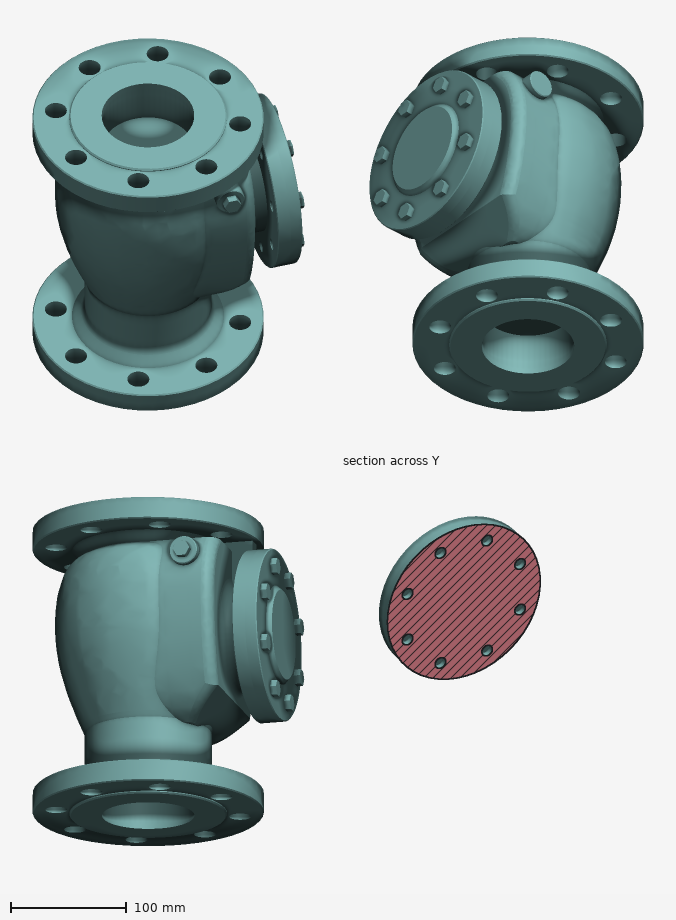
import cadquery as cq
import math

TOTAL_HEIGHT = 260.0
FLANGE_DIA = 200.0
FLANGE_BACK = 21.3
FACE_DIA = 136.5
FACE_HEIGHT = 2.0
FACE_CHAMFER = 1.3
FLANGE_CHAMFER = 1.0
FLANGE_HOLE_DIA = 19.0
FLANGE_HOLE_CIRCLE_DIA = 160.2
HOLE_COUNT = 8
HALF_STEP = 180.0 / HOLE_COUNT
BORE_DIA = 80.0
BORE_DEPTH = 40.3

NECK_RADIUS = 110.0 / 2
HUB_RADIUS = 65.8
HUB_FILLET = 9.4
COLLAR_BOTTOM = 73.0
BULB_BOTTOM = 78.0
BULB_END_RADIUS = 57.2
BULB_TOP = TOTAL_HEIGHT - FLANGE_BACK - (HUB_RADIUS - BULB_END_RADIUS)
BULB_PROFILE = [
    (67.9, 104.5),
    (77.7, 139.5),
    (80.5, 169.0),
    (77.0, 204.0),
    (69.0, 221.8),
]

BLOCK_BACK = 77.0
BLOCK_FILLET = 9.5
BLOCK_FOOT = 70.2
BLOCK_FOOT_HALF = 36.5
BLOCK_TOP_HALF = 55.6
BLOCK_WALL = [
    (58.5, 92.0),
    (66.0, 111.8),
    (74.4, 158.5),
    (71.0, 204.0),
]
SLOPE_TOP = 96.7

PORT_HEIGHT = 153.7
PORT_DIA = 150.0
PORT_NECK_RADIUS = 42.0
PORT_NECK_FILLET = 10.0
PORT_FLANGE_BACK = 95.2
PARTING = 106.9
COVER_FACE = 117.3
COVER_CHAMFER = 0.8
DOME_BASE_DIA = 86.3
DOME_TOP_DIA = 78.0
DOME_HEIGHT = 4.2
WEB_THICKNESS = 13.0

BOLT_CIRCLE_RADIUS = 59.5
BOLT_DIA = 8.0
BOLT_HOLE_DIA = 10.0
BOLT_FLATS = 13.0
BOLT_CORNERS = BOLT_FLATS / math.cos(math.radians(30))
HEAD_HEIGHT = 5.5

BOSS_DIA = 25.0
BOSS_Y = 52.0
BOSS_HEIGHT = 213.5
BOSS_REACH = 77.2
BOSS_CHAMFER = 0.8
PLUG_REACH = 83.7


def port_plane(y):
    """Plane across the port axis at the given Y, facing +Y; local X is -X, local Y is +Z."""
    return cq.Workplane(cq.Plane(origin=(0, y, PORT_HEIGHT), xDir=(-1, 0, 0), normal=(0, 1, 0)))


def pipe_flange():
    """Lower pipe flange with its raised face at Z = 0; the other one is its mirror image."""
    plate = (
        cq.Workplane("XY", origin=(0, 0, FACE_HEIGHT))
        .circle(FLANGE_DIA / 2)
        .extrude(FLANGE_BACK - FACE_HEIGHT)
        .edges()
        .chamfer(FLANGE_CHAMFER)
    )
    face = cq.Workplane("XY").circle(FACE_DIA / 2).extrude(FLANGE_BACK).faces("<Z").edges().chamfer(FACE_CHAMFER)
    holes = (
        cq.Workplane("XY")
        .polarArray(FLANGE_HOLE_CIRCLE_DIA / 2, HALF_STEP, 360, HOLE_COUNT)
        .circle(FLANGE_HOLE_DIA / 2)
        .extrude(FLANGE_BACK)
    )
    return plate.union(face).cut(holes)


def chamber():
    """Turned body from the lower hub through the bulb to the upper hub."""
    upper_flange_back = TOTAL_HEIGHT - FLANGE_BACK
    diagonal = math.sqrt(0.5)
    hub_end_radius = NECK_RADIUS + HUB_FILLET * (1 - diagonal)
    hub_end = FLANGE_BACK + HUB_RADIUS - hub_end_radius
    fillet_mid = (
        NECK_RADIUS + HUB_FILLET * (1 - math.cos(math.radians(22.5))),
        hub_end + HUB_FILLET * (diagonal - math.sin(math.radians(22.5))),
    )
    return (
        cq.Workplane("XZ")
        .moveTo(0, FLANGE_BACK)
        .lineTo(HUB_RADIUS, FLANGE_BACK)
        .lineTo(hub_end_radius, hub_end)
        .threePointArc(fillet_mid, (NECK_RADIUS, hub_end + HUB_FILLET * diagonal))
        .lineTo(NECK_RADIUS, COLLAR_BOTTOM)
        .lineTo(BULB_END_RADIUS, BULB_BOTTOM)
        .spline([*BULB_PROFILE, (BULB_END_RADIUS, BULB_TOP)], includeCurrent=True)
        .lineTo(HUB_RADIUS, upper_flange_back)
        .lineTo(0, upper_flange_back)
        .close()
        .revolve(360, (0, 0), (0, 1))
    )


def rear_block():
    """Block behind the chamber: bulging side walls, rounded back edges and a sloping underside."""
    left_wall = [(-half_width, level) for half_width, level in reversed(BLOCK_WALL)]
    block = (
        cq.Workplane("XZ")
        .moveTo(BLOCK_FOOT_HALF, BLOCK_FOOT)
        .spline([*BLOCK_WALL, (BLOCK_TOP_HALF, BULB_TOP)], includeCurrent=True)
        .lineTo(-BLOCK_TOP_HALF, BULB_TOP)
        .spline([*left_wall, (-BLOCK_FOOT_HALF, BLOCK_FOOT)], includeCurrent=True)
        .close()
        .extrude(-BLOCK_BACK)
    )
    slope_run = SLOPE_TOP - BLOCK_FOOT
    below_slope = (
        cq.Workplane("YZ")
        .moveTo(BLOCK_BACK, SLOPE_TOP)
        .lineTo(BLOCK_BACK, BLOCK_FOOT)
        .lineTo(BLOCK_BACK - slope_run, BLOCK_FOOT)
        .close()
        .extrude(FLANGE_DIA / 2, both=True)
    )
    underside = cq.selectors.DirectionMinMaxSelector(cq.Vector(0, 1, -1))
    block = block.cut(below_slope)
    wall_edges = block.faces(">Y").add(block.faces(underside)).edges("not |X")
    return wall_edges.fillet(BLOCK_FILLET)


def access_port():
    """Flared neck and round flange behind the block, with through holes for the cover bolts."""
    flare_end = BLOCK_BACK + PORT_NECK_FILLET
    diagonal_gap = PORT_NECK_FILLET * (1 - math.sqrt(0.5))
    neck = (
        cq.Workplane("XY")
        .moveTo(0, BOSS_Y)
        .lineTo(PORT_NECK_RADIUS + PORT_NECK_FILLET, BOSS_Y)
        .lineTo(PORT_NECK_RADIUS + PORT_NECK_FILLET, BLOCK_BACK)
        .threePointArc(
            (PORT_NECK_RADIUS + diagonal_gap, BLOCK_BACK + diagonal_gap), (PORT_NECK_RADIUS, flare_end)
        )
        .lineTo(PORT_NECK_RADIUS, PORT_FLANGE_BACK)
        .lineTo(0, PORT_FLANGE_BACK)
        .close()
        .revolve(360, (0, 0), (0, 1))
        .translate((0, 0, PORT_HEIGHT))
    )
    flange = port_plane(PORT_FLANGE_BACK).circle(PORT_DIA / 2).extrude(PARTING - PORT_FLANGE_BACK)
    flange = flange.faces("<Y").edges().chamfer(COVER_CHAMFER)
    holes = (
        port_plane(PORT_FLANGE_BACK)
        .polarArray(BOLT_CIRCLE_RADIUS, HALF_STEP, 360, HOLE_COUNT)
        .circle(BOLT_HOLE_DIA / 2)
        .extrude(PARTING - PORT_FLANGE_BACK)
    )
    return neck.union(flange.cut(holes))


def web():
    """Upright web from the port neck to the upper pipe flange."""
    bottom = PORT_HEIGHT + PORT_NECK_RADIUS / 2
    return cq.Workplane("XY", origin=(0, PORT_FLANGE_BACK / 2, bottom)).box(
        WEB_THICKNESS, PORT_FLANGE_BACK, TOTAL_HEIGHT - FLANGE_BACK - bottom, centered=(True, True, False)
    )


def side_bosses():
    """Round bosses on both sides and the hexagonal plug head on the +X boss."""
    bosses = (
        cq.Workplane("YZ", origin=(0, BOSS_Y, BOSS_HEIGHT))
        .circle(BOSS_DIA / 2)
        .extrude(BOSS_REACH, both=True)
        .faces("<X or >X")
        .edges()
        .chamfer(BOSS_CHAMFER)
    )
    plug = (
        cq.Workplane("YZ", origin=(0, BOSS_Y, BOSS_HEIGHT)).polygon(6, BOLT_CORNERS).extrude(PLUG_REACH)
    )
    return bosses.union(plug)


def make_housing():
    lower_flange = pipe_flange()
    upper_flange = lower_flange.mirror("XY", (0, 0, TOTAL_HEIGHT / 2))
    bore = cq.Workplane("XY").circle(BORE_DIA / 2).extrude(BORE_DEPTH)
    return (
        chamber()
        .union(rear_block())
        .union(access_port())
        .union(web())
        .union(side_bosses())
        .union(lower_flange)
        .union(upper_flange)
        .cut(bore)
        .cut(bore.translate((0, 0, TOTAL_HEIGHT - BORE_DEPTH)))
    )


def make_cover():
    plate = port_plane(PARTING).circle(PORT_DIA / 2).extrude(COVER_FACE - PARTING)
    plate = plate.faces(">Y").edges().chamfer(COVER_CHAMFER)
    dome = (
        port_plane(COVER_FACE)
        .circle(DOME_BASE_DIA / 2)
        .workplane(offset=DOME_HEIGHT)
        .circle(DOME_TOP_DIA / 2)
        .loft()
    )
    holes = (
        port_plane(PARTING)
        .polarArray(BOLT_CIRCLE_RADIUS, HALF_STEP, 360, HOLE_COUNT)
        .circle(BOLT_DIA / 2)
        .extrude(COVER_FACE - PARTING)
    )
    return plate.union(dome).cut(holes)


def make_bolt(index):
    """Hexagon bolt whose shank fills one hole of the cover."""
    angle = math.radians(HALF_STEP * (2 * index + 1))
    x = BOLT_CIRCLE_RADIUS * math.cos(angle)
    z = BOLT_CIRCLE_RADIUS * math.sin(angle)
    shank = port_plane(PARTING).center(x, z).circle(BOLT_DIA / 2).extrude(COVER_FACE - PARTING)
    head = port_plane(COVER_FACE).center(x, z).polygon(6, BOLT_CORNERS).extrude(HEAD_HEIGHT)
    return shank.union(head)


housing = make_housing()
cover = make_cover()
bolts = [make_bolt(index) for index in range(HOLE_COUNT)]

result = cq.Compound.makeCompound([housing.solids().val(), cover.solids().val(), *[bolt.solids().val() for bolt in bolts]])